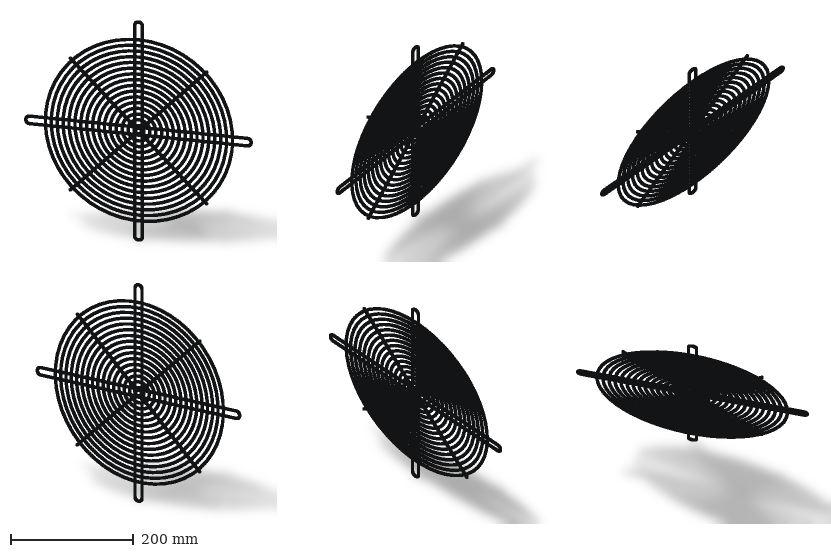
import cadquery as cq

span = 384.0
depth = 5.8

wire = 3.0

arm_count = 4
arm_angle = 360 / arm_count
loop_width = 16.0
loop_inner_end = 3.0

ring_count = 16
ring_pitch = 10.0
outer_ring_radius = 158.2

spoke_inner_end = 13.0
spoke_outer_end = 163.5

front_wire_y = -depth / 2 + wire / 2
ring_wire_y = depth / 2 - wire / 2


def wire_ring(radius):
    """Closed round wire about the Y axis."""
    ring = cq.Solid.makeTorus(radius, wire / 2, cq.Vector(0, ring_wire_y, 0), cq.Vector(0, 1, 0))
    return cq.Workplane(obj=ring)


def wire_loop(angle):
    """Stadium-shaped closed wire reaching outward from the hub, turned about Y."""
    bend_radius = (loop_width - wire) / 2
    inner_end = loop_inner_end + wire / 2
    outer_end = span / 2 - wire / 2
    bend_start = inner_end + bend_radius
    bend_finish = outer_end - bend_radius
    middle = (bend_start + bend_finish) / 2
    path = (
        cq.Workplane("XZ", origin=(0, front_wire_y, 0))
        .moveTo(middle, bend_radius)
        .lineTo(bend_finish, bend_radius)
        .threePointArc((outer_end, 0), (bend_finish, -bend_radius))
        .lineTo(bend_start, -bend_radius)
        .threePointArc((inner_end, 0), (bend_start, bend_radius))
        .close()
    )
    section = cq.Workplane("YZ", origin=(middle, front_wire_y, bend_radius)).circle(wire / 2)
    return section.sweep(path).rotate((0, 0, 0), (0, 1, 0), angle)


def spoke(angle):
    """Straight radial wire, turned about Y."""
    rod = (
        cq.Workplane("YZ", origin=(spoke_inner_end, front_wire_y, 0))
        .circle(wire / 2)
        .extrude(spoke_outer_end - spoke_inner_end)
    )
    return rod.rotate((0, 0, 0), (0, 1, 0), angle)


wires = []
for index in range(ring_count):
    wires.append(wire_ring(outer_ring_radius - index * ring_pitch))
for index in range(arm_count):
    wires.append(wire_loop(index * arm_angle))
    wires.append(spoke((index + 0.5) * arm_angle))

first, *others = [part.val() for part in wires]
result = cq.Workplane(obj=first.fuse(*others))